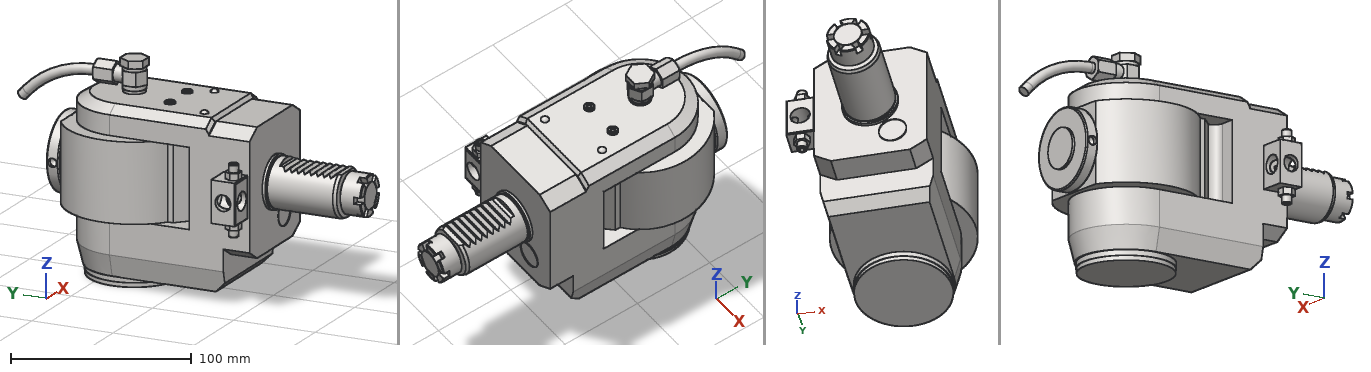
import cadquery as cq
import math


HEAD_HALF_WIDTH = 32.0
SPINDLE_Y = 86.3
HEAD_TOP = 40.5
HEAD_BOTTOM = -58.9
TOP_BEVEL_WIDTH = 7.2
TOP_BEVEL_HEIGHT = 4.6
BOTTOM_TAPER_TOP = -45.4
BOTTOM_TAPER_ANGLE = 14.0
BOTTOM_CHAMFER = 6.2

FRONT_HALF_HEIGHT = 38.1
FRONT_BEVEL_WIDTH = 9.6
FRONT_BEVEL_HEIGHT = 5.8
FRONT_UNDERCUT_Y = 16.1
FRONT_STEP_Y = 25.0
STEP_SLOPE_LENGTH = 1.9

HOUSING_RADIUS = 41.0
HOUSING_HALF_HEIGHT = 23.9
HOUSING_BACK_Y = 121.5
FLANGE_RADIUS = 23.6
FLANGE_LENGTH = 7.8
FLANGE_CHAMFER = 0.8
FLANGE_BOSS_RADIUS = 11.8
FLANGE_BOSS_LENGTH = 1.5
FLANGE_HOLE_RADIUS = 2.6
FLANGE_HOLE_TIP_DEPTH = 5.0

POCKET_FRONT_Y = 37.2
POCKET_CORNER_RADIUS = 5.5
POCKET_SLOPE_START_Y = 50.5
POCKET_SHELF_Y = 53.7
POCKET_SHELF_X = math.sqrt(HOUSING_RADIUS**2 - (SPINDLE_Y - POCKET_SHELF_Y)**2)
POCKET_FLOOR_X = POCKET_SHELF_X - (POCKET_SLOPE_START_Y - POCKET_FRONT_Y - POCKET_CORNER_RADIUS)

RING_RADIUS = 27.8
RING_LOWER_RADIUS = 27.5
RING_BOTTOM = -64.85
RING_STEP_HEIGHT = 2.7

PLUG_X = 12.5
PLUG_Z = -21.5
PLUG_RADIUS = 7.8
PLUG_DEPTH = 0.5

COLLAR_RADIUS = 15.9
COLLAR_LENGTH = 1.7
RELIEF_RADIUS = 14.6
RELIEF_END = 2.5
SHANK_RADIUS = 15.0
SHANK_LENGTH = 44.9
SHANK_CHAMFER_LENGTH = 2.0
SHANK_CHAMFER_DEPTH = 0.8
NECK_RADIUS = 9.8
FLAT_START = 7.2
FLAT_HEIGHT = 12.4
TOOTH_COUNT = 8
TOOTH_PITCH = 4.0
TOOTH_DEPTH = 2.0
FIRST_TOOTH = 11.6

NUT_RADIUS = 12.2
NUT_CHAMFER = 0.5
NUT_START = 46.2
NUT_END = 58.6
COLLET_RADIUS = 7.9
COLLET_END = 59.0
NUT_SLOT_COUNT = 6
NUT_SLOT_WIDTH = 3.8
NUT_SLOT_DEPTH = 4.1

BLOCK_OUTER_X = -48.0
BLOCK_FRONT_Y = 0.9
BLOCK_BACK_Y = 15.9
BLOCK_HALF_HEIGHT = 12.6
BLOCK_CHAMFER = 0.6
PORT_X = -40.0
PORT_RADIUS = 5.5
SIDE_PORT_Y = 8.6
SIDE_PORT_RADIUS = 4.7
SIDE_PORT_DEPTH = 13.7
SIDE_DRILL_RADIUS = 1.6
NIPPLE_Y = 5.9
NIPPLE_HEX_FLATS = 8.0
NIPPLE_HEX_HEIGHT = 4.0
NIPPLE_RADIUS = 2.8
NIPPLE_HEIGHT = 4.7
NIPPLE_CHAMFER = 0.6
NIPPLE_BORE_RADIUS = 1.2
NIPPLE_BORE_DEPTH = 3.0

ELBOW_RADIUS = 6.8
ELBOW_FOOT_RADIUS = 6.4
ELBOW_FOOT_TOP = 42.3
ELBOW_HEX_FLATS = 14.0
ELBOW_BODY_FLATS = 13.6
ELBOW_BODY_BOTTOM = 45.0
ELBOW_BODY_TOP = 53.4
ELBOW_HEX_BOTTOM = 55.4
ELBOW_TOP = 60.05
HOSE_Z = 49.5
OUTLET_RADIUS = 5.0
HOSE_NUT_FLATS = 12.0
HOSE_NUT_START_Y = 97.2
HOSE_NUT_END_Y = 109.2
HOSE_NUT_CHAMFER = 0.6
HOSE_RADIUS = 3.1
HOSE_BEND_START_Y = 111.2
HOSE_BEND_RADIUS = 56.6
HOSE_BEND_ANGLE = 46.5
HOSE_TIP_LENGTH = 4.6

SCREW_POSITIONS = [(-10.8, 59.2), (10.8, 59.2)]
SCREW_RADIUS = 3.1
SCREW_HEIGHT = 1.2
SCREW_CHAMFER = 0.6
SCREW_SOCKET_FLATS = 2.5
PIN_POSITIONS = [(18.5, 46.1), (-18.5, 34.3)]
PIN_RADIUS = 2.4
PIN_HEIGHT = 1.5

OVERLAP = 2.0


def cylinder_z(x, y, z, radius, height):
    return cq.Workplane("XY", origin=(x, y, z)).circle(radius).extrude(height)


def cylinder_y(x, y, z, radius, length):
    """Cylinder that runs from y towards +Y."""
    return cq.Workplane("XZ", origin=(x, y, z)).circle(radius).extrude(-length)


def cylinder_x(x, y, z, radius, length):
    return cq.Workplane("YZ", origin=(x, y, z)).circle(radius).extrude(length)


def hexagon_z(x, y, z, flats, height, turn=0.0):
    """Hexagonal prism with corners along X, turned about its axis."""
    corners = flats / math.cos(math.pi / 6)
    prism = cq.Workplane("XY").polygon(6, corners).extrude(height)
    return prism.rotate((0, 0, 0), (0, 0, 1), turn).translate((x, y, z))


def box_between(x0, x1, y0, y1, z0, z1):
    return cq.Workplane("XY").box(x1 - x0, y1 - y0, z1 - z0, centered=False).translate((x0, y0, z0))


def head_outline(z, front_y):
    """Plan outline: straight sides closed by a half circle at the back."""
    return (
        cq.Workplane("XY", origin=(0, 0, z))
        .moveTo(-HEAD_HALF_WIDTH, front_y)
        .lineTo(HEAD_HALF_WIDTH, front_y)
        .lineTo(HEAD_HALF_WIDTH, SPINDLE_Y)
        .threePointArc((0, SPINDLE_Y + HEAD_HALF_WIDTH), (-HEAD_HALF_WIDTH, SPINDLE_Y))
        .close()
    )


def head_body():
    shoulder_z = HEAD_TOP - TOP_BEVEL_HEIGHT
    walls = head_outline(BOTTOM_TAPER_TOP, 0).extrude(shoulder_z - BOTTOM_TAPER_TOP)

    far_front = -2 * HEAD_HALF_WIDTH
    bevel_angle = math.degrees(math.atan(TOP_BEVEL_WIDTH / TOP_BEVEL_HEIGHT))
    top = head_outline(shoulder_z, far_front).extrude(TOP_BEVEL_HEIGHT, taper=bevel_angle)
    bottom = (
        head_outline(-BOTTOM_TAPER_TOP, far_front)
        .extrude(BOTTOM_TAPER_TOP - HEAD_BOTTOM, taper=BOTTOM_TAPER_ANGLE)
        .mirror("XY")
    )
    reach = 3 * HEAD_HALF_WIDTH
    cut_front = box_between(-reach, reach, -2 * reach, 0, 2 * HEAD_BOTTOM, 2 * HEAD_TOP)
    return walls.union(top).union(bottom).cut(cut_front)


def bevelled_section(y, half_width, half_height, bevel_width, bevel_height):
    """Octagonal cross-section wire of the front block, in a plane of constant Y."""
    flat = half_width - bevel_width
    side = half_height - bevel_height
    right = [(half_width, -side), (half_width, side), (flat, half_height)]
    left = [(-flat, half_height), (-half_width, side), (-half_width, -side)]
    points = [(flat, -half_height)] + right + left + [(-flat, -half_height)]
    return cq.Workplane("XZ", origin=(0, y, 0)).polyline(points).close()


def shape_front(body):
    """Step the top down to the front block and undercut the lower front."""
    reach = 3 * HEAD_HALF_WIDTH
    section = (HEAD_HALF_WIDTH, FRONT_HALF_HEIGHT, FRONT_BEVEL_WIDTH, FRONT_BEVEL_HEIGHT)
    octagon = bevelled_section(0, *section).extrude(-FRONT_STEP_Y)

    upper = box_between(-reach, reach, 0, FRONT_STEP_Y, 0, reach)
    lower = box_between(-reach, reach, 0, FRONT_UNDERCUT_Y, -reach, 0)
    body = body.cut(upper.union(lower).cut(octagon))

    body = body.cut(step_slope())

    chamfer = (
        cq.Workplane("YZ", origin=(-reach, 0, 0))
        .polyline([
            (FRONT_UNDERCUT_Y, HEAD_BOTTOM),
            (FRONT_UNDERCUT_Y + BOTTOM_CHAMFER, HEAD_BOTTOM),
            (FRONT_UNDERCUT_Y, HEAD_BOTTOM + BOTTOM_CHAMFER),
        ])
        .close()
        .extrude(2 * reach)
    )
    return body.cut(chamfer)


def step_slope():
    """Material above the slope that leads from the front block up to the head top and bevels."""
    reach = 3 * HEAD_HALF_WIDTH
    flat = HEAD_HALF_WIDTH - TOP_BEVEL_WIDTH
    rise = HEAD_TOP - FRONT_HALF_HEIGHT
    triangle = [(FRONT_STEP_Y, -rise), (FRONT_STEP_Y + STEP_SLOPE_LENGTH, 0), (FRONT_STEP_Y, 0)]
    wedge = cq.Workplane("YZ").polyline(triangle).close().extrude(reach)

    over_flat = wedge.union(wedge.mirror("YZ")).translate((0, 0, HEAD_TOP))
    tilt = math.degrees(math.atan(TOP_BEVEL_HEIGHT / TOP_BEVEL_WIDTH))
    over_bevel = wedge.rotate((0, 0, 0), (0, 1, 0), tilt).translate((flat, 0, HEAD_TOP))
    return over_flat.union(over_bevel).union(over_bevel.mirror("YZ"))


def side_pocket():
    """Clearance pocket on the +X side, from its front wall back into the round housing."""
    outside = 1.5 * HEAD_HALF_WIDTH
    corner_y = POCKET_FRONT_Y + POCKET_CORNER_RADIUS
    corner_x = POCKET_FLOOR_X + POCKET_CORNER_RADIUS
    arc_offset = POCKET_CORNER_RADIUS * math.sqrt(0.5)
    return (
        cq.Workplane("XY", origin=(0, 0, -HOUSING_HALF_HEIGHT))
        .moveTo(outside, POCKET_FRONT_Y)
        .lineTo(corner_x, POCKET_FRONT_Y)
        .threePointArc((corner_x - arc_offset, corner_y - arc_offset), (POCKET_FLOOR_X, corner_y))
        .lineTo(POCKET_SHELF_X, POCKET_SLOPE_START_Y)
        .lineTo(POCKET_SHELF_X, SPINDLE_Y)
        .lineTo(outside, SPINDLE_Y)
        .close()
        .extrude(2 * HOUSING_HALF_HEIGHT)
    )


def round_housing():
    drum = cylinder_z(0, SPINDLE_Y, -HOUSING_HALF_HEIGHT, HOUSING_RADIUS, 2 * HOUSING_HALF_HEIGHT)
    reach = 2 * HOUSING_RADIUS
    behind = box_between(-reach, reach, HOUSING_BACK_Y, HOUSING_BACK_Y + reach, -reach, reach)
    return drum.cut(behind)


def back_flange():
    start_y = HOUSING_BACK_Y - OVERLAP
    flange_end_y = HOUSING_BACK_Y + FLANGE_LENGTH
    disc = cylinder_y(0, HOUSING_BACK_Y, 0, FLANGE_RADIUS, FLANGE_LENGTH).edges().chamfer(FLANGE_CHAMFER)
    boss = cylinder_y(0, start_y, 0, FLANGE_BOSS_RADIUS, flange_end_y + FLANGE_BOSS_LENGTH - start_y)
    middle_y = HOUSING_BACK_Y + FLANGE_LENGTH / 2
    tip_x = -FLANGE_RADIUS + FLANGE_HOLE_TIP_DEPTH
    hole = (
        cq.Workplane("XY")
        .polyline([
            (-FLANGE_RADIUS, middle_y),
            (-FLANGE_RADIUS, middle_y + FLANGE_HOLE_RADIUS),
            (tip_x - FLANGE_HOLE_RADIUS, middle_y + FLANGE_HOLE_RADIUS),
            (tip_x, middle_y),
        ])
        .close()
        .revolve(360, (-FLANGE_RADIUS, middle_y, 0), (tip_x, middle_y, 0))
    )
    return disc.union(boss).cut(hole)


def bottom_ring():
    step_z = RING_BOTTOM + RING_STEP_HEIGHT
    upper = cylinder_z(0, SPINDLE_Y, step_z, RING_RADIUS, HEAD_BOTTOM + OVERLAP - step_z)
    lower = cylinder_z(0, SPINDLE_Y, RING_BOTTOM, RING_LOWER_RADIUS, RING_STEP_HEIGHT)
    return upper.union(lower)


def shank():
    """Turned shank with a toothed flat on top, built along -Y."""
    chamfer_start = SHANK_LENGTH - SHANK_CHAMFER_LENGTH
    profile = [
        (0, OVERLAP),
        (COLLAR_RADIUS, OVERLAP),
        (COLLAR_RADIUS, -COLLAR_LENGTH),
        (RELIEF_RADIUS, -COLLAR_LENGTH),
        (RELIEF_RADIUS, -RELIEF_END),
        (SHANK_RADIUS, -RELIEF_END),
        (SHANK_RADIUS, -chamfer_start),
        (SHANK_RADIUS - SHANK_CHAMFER_DEPTH, -SHANK_LENGTH),
        (NECK_RADIUS, -SHANK_LENGTH),
        (NECK_RADIUS, -NUT_START),
        (NUT_RADIUS, -NUT_START),
        (NUT_RADIUS, -NUT_END + NUT_CHAMFER),
        (NUT_RADIUS - NUT_CHAMFER, -NUT_END),
        (COLLET_RADIUS, -NUT_END),
        (COLLET_RADIUS, -COLLET_END),
        (0, -COLLET_END),
    ]
    body = cq.Workplane("XY").polyline(profile).close().revolve(360, (0, 0, 0), (0, 1, 0))

    flat = box_between(
        -SHANK_RADIUS, SHANK_RADIUS, -SHANK_LENGTH, -FLAT_START, FLAT_HEIGHT, 2 * SHANK_RADIUS
    )
    body = body.cut(flat)
    for index in range(TOOTH_COUNT):
        root_y = -(FIRST_TOOTH + index * TOOTH_PITCH)
        body = body.cut(tooth_gap(root_y))
    for index in range(NUT_SLOT_COUNT):
        body = body.cut(nut_slot(index * 360 / NUT_SLOT_COUNT))
    return body


def tooth_gap(root_y):
    half_pitch = TOOTH_PITCH / 2
    return (
        cq.Workplane("YZ", origin=(-SHANK_RADIUS, 0, 0))
        .polyline([
            (root_y - half_pitch, FLAT_HEIGHT),
            (root_y, FLAT_HEIGHT - TOOTH_DEPTH),
            (root_y + half_pitch, FLAT_HEIGHT),
        ])
        .close()
        .extrude(2 * SHANK_RADIUS)
    )


def nut_slot(angle):
    half_width = NUT_SLOT_WIDTH / 2
    slot_end_y = -NUT_END + NUT_SLOT_DEPTH
    slot = box_between(0, 2 * NUT_RADIUS, -NUT_END, slot_end_y, -half_width, half_width)
    core = cylinder_y(0, -NUT_END, 0, COLLET_RADIUS, NUT_SLOT_DEPTH)
    return slot.cut(core).rotate((0, 0, 0), (0, 1, 0), angle)


def coolant_block():
    inner_x = -HEAD_HALF_WIDTH
    block = box_between(
        BLOCK_OUTER_X, inner_x, BLOCK_FRONT_Y, BLOCK_BACK_Y, -BLOCK_HALF_HEIGHT, BLOCK_HALF_HEIGHT
    )
    block = block.faces("<Y").chamfer(BLOCK_CHAMFER)
    block = block.union(nipple()).union(nipple().mirror("XY"))
    port = cylinder_y(PORT_X, BLOCK_FRONT_Y, 0, PORT_RADIUS, BLOCK_BACK_Y - BLOCK_FRONT_Y)
    side_port = cylinder_x(BLOCK_OUTER_X, SIDE_PORT_Y, 0, SIDE_PORT_RADIUS, SIDE_PORT_DEPTH)
    side_drill = cylinder_x(PORT_X, SIDE_PORT_Y, 0, SIDE_DRILL_RADIUS, inner_x - PORT_X)
    return block.cut(port).cut(side_port).cut(side_drill)


def nipple():
    hex_top = BLOCK_HALF_HEIGHT + NIPPLE_HEX_HEIGHT
    nut = hexagon_z(PORT_X, NIPPLE_Y, BLOCK_HALF_HEIGHT, NIPPLE_HEX_FLATS, NIPPLE_HEX_HEIGHT)
    tip = cylinder_z(PORT_X, NIPPLE_Y, hex_top, NIPPLE_RADIUS, NIPPLE_HEIGHT)
    tip = tip.faces(">Z").chamfer(NIPPLE_CHAMFER)
    bore_z = hex_top + NIPPLE_HEIGHT - NIPPLE_BORE_DEPTH
    bore = cylinder_z(PORT_X, NIPPLE_Y, bore_z, NIPPLE_BORE_RADIUS, NIPPLE_BORE_DEPTH)
    return nut.union(tip).cut(bore)


def elbow():
    base_z = HEAD_TOP - OVERLAP
    foot = cylinder_z(0, SPINDLE_Y, base_z, ELBOW_FOOT_RADIUS, ELBOW_FOOT_TOP - base_z)
    stem = cylinder_z(0, SPINDLE_Y, ELBOW_FOOT_TOP, ELBOW_RADIUS, ELBOW_HEX_BOTTOM - ELBOW_FOOT_TOP)
    body_height = ELBOW_BODY_TOP - ELBOW_BODY_BOTTOM
    body = hexagon_z(0, SPINDLE_Y, ELBOW_BODY_BOTTOM, ELBOW_BODY_FLATS, body_height, turn=30)
    cap = hexagon_z(0, SPINDLE_Y, ELBOW_HEX_BOTTOM, ELBOW_HEX_FLATS, ELBOW_TOP - ELBOW_HEX_BOTTOM)
    outlet = cylinder_y(0, SPINDLE_Y, HOSE_Z, OUTLET_RADIUS, HOSE_NUT_START_Y - SPINDLE_Y)
    return foot.union(stem).union(body).union(cap).union(outlet)


def hose_nut():
    """Hexagonal nut along Y with corners up and down, rounded off by a turned chamfer."""
    length = HOSE_NUT_END_Y - HOSE_NUT_START_Y
    corner_radius = HOSE_NUT_FLATS / 2 / math.cos(math.pi / 6)
    prism = (
        cq.Workplane("XZ")
        .polygon(6, 2 * corner_radius)
        .extrude(-length)
        .rotate((0, 0, 0), (0, 1, 0), 30)
        .translate((0, HOSE_NUT_START_Y, HOSE_Z))
    )
    envelope = cylinder_y(0, HOSE_NUT_START_Y, HOSE_Z, corner_radius, length)
    return prism.intersect(envelope.faces(">Y").chamfer(HOSE_NUT_CHAMFER))


def hose():
    """Hose that leaves the nut along +Y, bends down and ends in a short straight tip."""
    def bend_point(angle):
        return (
            HOSE_BEND_START_Y + HOSE_BEND_RADIUS * math.sin(angle),
            HOSE_Z - HOSE_BEND_RADIUS * (1 - math.cos(angle)),
        )

    angle = math.radians(HOSE_BEND_ANGLE)
    end_y, end_z = bend_point(angle)
    tip = (end_y + HOSE_TIP_LENGTH * math.cos(angle), end_z - HOSE_TIP_LENGTH * math.sin(angle))
    path = (
        cq.Workplane("YZ")
        .moveTo(HOSE_NUT_END_Y - OVERLAP, HOSE_Z)
        .lineTo(HOSE_BEND_START_Y, HOSE_Z)
        .threePointArc(bend_point(angle / 2), (end_y, end_z))
        .lineTo(*tip)
    )
    start = cq.Workplane("XZ", origin=(0, HOSE_NUT_END_Y - OVERLAP, HOSE_Z))
    return start.circle(HOSE_RADIUS).sweep(path)


def top_screw(x, y):
    screw = cylinder_z(x, y, HEAD_TOP, SCREW_RADIUS, SCREW_HEIGHT).faces(">Z").chamfer(SCREW_CHAMFER)
    return screw.cut(hexagon_z(x, y, HEAD_TOP, SCREW_SOCKET_FLATS, SCREW_HEIGHT))


def top_pin(x, y):
    """Domed pin head: the cap of a sphere."""
    sphere_radius = (PIN_RADIUS**2 + PIN_HEIGHT**2) / (2 * PIN_HEIGHT)
    top_z = HEAD_TOP + PIN_HEIGHT
    sphere = cq.Workplane("XY").sphere(sphere_radius).translate((x, y, top_z - sphere_radius))
    return sphere.intersect(cylinder_z(x, y, HEAD_TOP, PIN_RADIUS, PIN_HEIGHT))


def build():
    pocket = side_pocket()
    part = shape_front(head_body())
    part = part.cut(pocket).cut(pocket.mirror("YZ"))
    part = part.union(round_housing()).union(back_flange()).union(bottom_ring())
    part = part.cut(cylinder_y(PLUG_X, 0, PLUG_Z, PLUG_RADIUS, PLUG_DEPTH))
    part = part.union(shank()).union(coolant_block())
    part = part.union(elbow()).union(hose_nut()).union(hose())
    for x, y in SCREW_POSITIONS:
        part = part.union(top_screw(x, y))
    for x, y in PIN_POSITIONS:
        part = part.union(top_pin(x, y))
    return part


result = build()